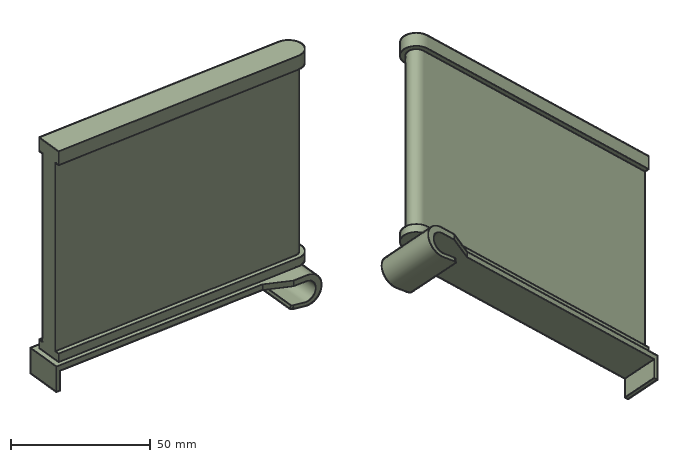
import cadquery as cq
import math

total_length = 115.5
panel_height = 89.5
clip_depth = 12.9

flange_width = 11.8
flange_step = 2.0
base_flange_height = 3.6
top_flange_height = 5.9
panel_back = 2.4
panel_width = flange_width - 2 * flange_step

strip_width = 15.7
strip_thickness = 2.4
tab_thickness = 1.6
tab_height = 10.9
hook_width = 25.0
taper_start = 92.2
taper_end = 102.6

hook_front = 115.2
hook_outer_radius = clip_depth / 2
hook_inner_radius = 4.4
hook_side_thickness = 2.7
tail_angle = math.radians(8.5)
tail_length = 6.5
tail_chamfer_width = 0.3
tail_chamfer_length = 0.9


def round_ended_bar(width, front, bottom, top):
    """Upright bar, square at the back and semicircular at the front."""
    half = width / 2
    return (
        cq.Workplane("XY", origin=(0, 0, bottom))
        .moveTo(-half, panel_back)
        .lineTo(half, panel_back)
        .lineTo(half, front - half)
        .threePointArc((0, front), (-half, front - half))
        .close()
        .extrude(top - bottom)
    )


def make_panel():
    top_flange_bottom = panel_height - top_flange_height
    base = round_ended_bar(flange_width, total_length, 0, base_flange_height)
    web = round_ended_bar(panel_width, total_length - flange_step, 0, panel_height)
    cap = round_ended_bar(flange_width, total_length, top_flange_bottom, panel_height)
    return base.union(web).union(cap)


def make_strip():
    """Flat strip widening up to the hook, with the end tab turned down."""
    half = strip_width / 2
    hook_half = hook_width / 2
    strip = (
        cq.Workplane("XY")
        .polyline([
            (-half, 0),
            (half, 0),
            (half, taper_start),
            (hook_half, taper_end),
            (-hook_half, taper_end),
            (-half, taper_start),
        ])
        .close()
        .extrude(-strip_thickness)
    )
    tab = cq.Workplane("XY").box(
        strip_width, tab_thickness, tab_height, centered=(True, False, False)
    ).translate((0, 0, -tab_height))
    return strip.union(tab)


def make_hook():
    """Curled hook ending in a straight tail, tangent to both arcs."""
    sine = math.sin(tail_angle)
    cosine = math.cos(tail_angle)
    outer_y = hook_front - hook_outer_radius
    outer_z = -hook_outer_radius
    inner_y = hook_front - hook_side_thickness - hook_inner_radius
    inner_z = -strip_thickness - hook_inner_radius

    def tail_point(center_y, center_z, radius, distance):
        """Point on the tail, at a distance past the end of the arc."""
        return (
            center_y - radius * sine - distance * cosine,
            center_z - radius * cosine + distance * sine,
        )

    inner_tail_length = tail_length + (outer_z - inner_z) * sine - (outer_y - inner_y) * cosine
    outer_tip = tail_point(outer_y, outer_z, hook_outer_radius, tail_length)
    inner_tip = tail_point(inner_y, inner_z, hook_inner_radius, inner_tail_length)

    hook = (
        cq.Workplane("YZ", origin=(-hook_width / 2, 0, 0))
        .moveTo(taper_end, 0)
        .lineTo(outer_y, 0)
        .threePointArc(
            (hook_front, outer_z),
            tail_point(outer_y, outer_z, hook_outer_radius, 0),
        )
        .lineTo(*outer_tip)
        .lineTo(*inner_tip)
        .lineTo(*tail_point(inner_y, inner_z, hook_inner_radius, 0))
        .threePointArc(
            (inner_y + hook_inner_radius, inner_z),
            (inner_y, -strip_thickness),
        )
        .lineTo(taper_end, -strip_thickness)
        .close()
        .extrude(hook_width)
    )
    tail_end = hook.faces(cq.ParallelDirSelector(cq.Vector(0, -cosine, sine)))
    return tail_end.edges("not |X").chamfer(tail_chamfer_width, tail_chamfer_length)


result = make_panel().union(make_strip()).union(make_hook())